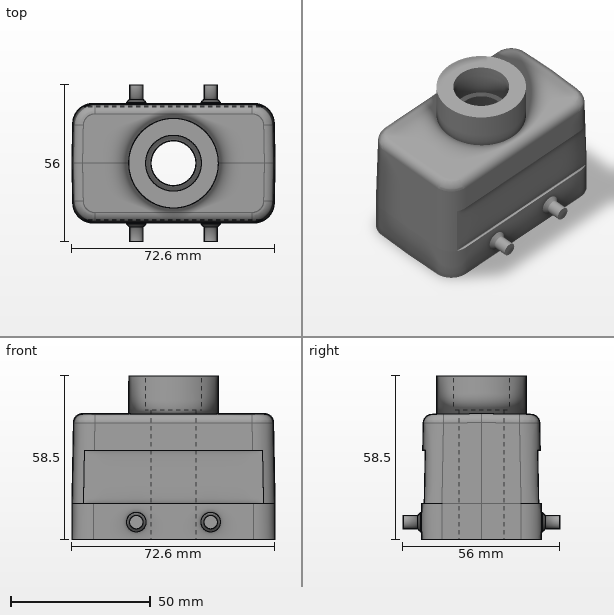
import cadquery as cq

length = 72.6
width = 42.75
end_crown = 0.4
base_height = 12.9
roof_height = 45.0
roof_crown = 0.3
wall_lean = 1.1
corner_radius = 7.4
roof_fillet = 3.3

recess_top = 31.9
recess_half_width_top = 20.1
recess_half_width_bottom = 20.5

overall_height = 58.5
entry_diameter = 32.0
bore_diameter = 20.0
bore_depth = 12.2
through_diameter = 16.0

pin_span = 56.0
pin_spacing = 26.6
pin_height = 6.25
pin_diameter = 4.8
collar_diameter = 7.0
collar_rim = 0.35


def make_half_block(height, lean):
    """The +Y half of a block with a straight long wall and sloping end walls, all leaning in."""
    ridge_x = length / 2
    corner_x = ridge_x - end_crown
    points = [
        (ridge_x, 0),
        (corner_x, width / 2),
        (-corner_x, width / 2),
        (-ridge_x, 0),
        (-corner_x, -width / 2),
        (corner_x, -width / 2),
    ]
    block = cq.Workplane("XY").polyline(points).close().extrude(height, taper=lean)
    half_space = cq.Workplane("XY").box(2 * length, width, height, centered=(True, False, False))
    half = block.intersect(half_space)
    upright_corners = cq.selectors.BoxSelector(
        (-length, width / 4, height / 4), (length, width, height * 3 / 4)
    )
    return half.edges(upright_corners).fillet(corner_radius)


def join_halves(half):
    """Complete a half built on the +Y side with its mirror image."""
    return half.union(half.mirror("XZ"))


def make_half_upper_body():
    """Leaning upper half body under its roof slope, with the roof edges rounded."""
    block = make_half_block(roof_height - base_height, wall_lean).translate((0, 0, base_height))
    eave_height = roof_height - roof_crown
    roof_slope = (
        cq.Workplane("YZ")
        .lineTo(0, roof_height)
        .lineTo(width / 2, eave_height)
        .lineTo(width / 2, 0)
        .close()
        .extrude(length, both=True)
    )
    half = block.intersect(roof_slope)
    roof_edges = cq.selectors.BoxSelector(
        (-length, width / 8, eave_height - roof_crown), (length, width, overall_height)
    )
    return half.edges(roof_edges).fillet(roof_fillet)


def make_recess():
    """Cutter leaving a flat, slightly leaning band on the +Y long wall."""
    return (
        cq.Workplane("YZ")
        .moveTo(recess_half_width_bottom, base_height)
        .lineTo(recess_half_width_top, recess_top)
        .lineTo(width, recess_top)
        .lineTo(width, base_height)
        .close()
        .extrude(length, both=True)
    )


def make_pin():
    """Pin pointing along +Y with a coned collar, its root buried in the body."""
    pin_radius = pin_diameter / 2
    collar_radius = collar_diameter / 2
    root = width / 4
    rim_end = width / 2 + collar_rim
    cone_end = rim_end + collar_radius - pin_radius
    return (
        cq.Workplane("XY")
        .moveTo(0, root)
        .lineTo(collar_radius, root)
        .lineTo(collar_radius, rim_end)
        .lineTo(pin_radius, cone_end)
        .lineTo(pin_radius, pin_span / 2)
        .lineTo(0, pin_span / 2)
        .close()
        .revolve(360, (0, 0, 0), (0, 1, 0))
    )


base = join_halves(make_half_block(base_height, 0))
upper_body = join_halves(make_half_upper_body().cut(make_recess()))
body = base.union(upper_body)

entry = (
    cq.Workplane("XY")
    .workplane(offset=base_height)
    .circle(entry_diameter / 2)
    .extrude(overall_height - base_height)
)
body = body.union(entry)

pin = make_pin()
for x in (-pin_spacing / 2, pin_spacing / 2):
    placed_pin = pin.translate((x, 0, pin_height))
    body = body.union(placed_pin).union(placed_pin.mirror("XZ"))

passage = cq.Workplane("XY").circle(through_diameter / 2).extrude(overall_height)
bore = (
    cq.Workplane("XY")
    .workplane(offset=overall_height - bore_depth)
    .circle(bore_diameter / 2)
    .extrude(bore_depth)
)

result = body.cut(passage).cut(bore)